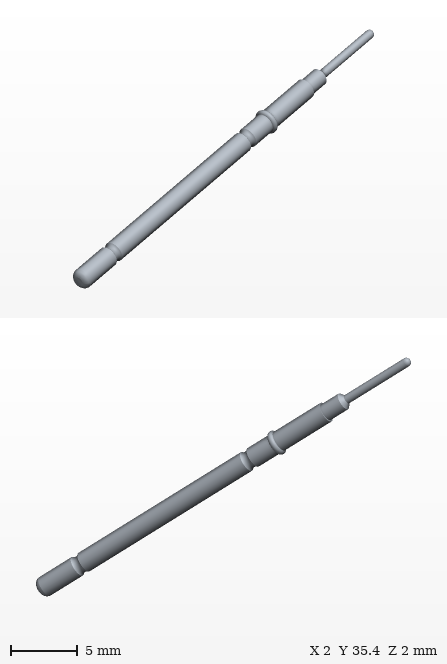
import cadquery as cq

length = 35.4
collar_start = 27.35
collar_end = 29.03
pin_start = 29.35

body_r = 0.8
collar_diameter = 1.38
collar_r = collar_diameter / 2
pin_r = 0.35

tail_face_r = 0.4
tail_length = 0.45
tail_arc_r = 0.53

groove_positions = (3.9, 20.07)
groove_width = 0.65
groove_depth = 0.15
ring_y = 22.65
ring_r = 1.0
ring_width = 0.53


def turned_blank():
    """Solid of revolution about the Y axis: tail, body, collar and pin with a hemispherical tip."""
    profile = (
        cq.Workplane("XY")
        .lineTo(tail_face_r, 0)
        .radiusArc((body_r, tail_length), -tail_arc_r)
        .lineTo(body_r, collar_start)
        .lineTo(collar_r, collar_start)
        .lineTo(collar_r, collar_end)
        .lineTo(pin_r, pin_start)
        .lineTo(pin_r, length - pin_r)
        .radiusArc((0, length), -pin_r)
        .close()
    )
    return profile.revolve(360, (0, 0), (0, 1))


def crimp_groove(y):
    """Cutter for a shallow groove of circular-arc section centred at y."""
    half = groove_width / 2
    section = (
        cq.Workplane("XY")
        .moveTo(ring_r, y - half)
        .lineTo(body_r, y - half)
        .threePointArc((body_r - groove_depth, y), (body_r, y + half))
        .lineTo(ring_r, y + half)
        .close()
    )
    return section.revolve(360, (0, 0), (0, 1))


def stop_ring():
    """Raised ring with a half-round rim around the body."""
    half = ring_width / 2
    section = (
        cq.Workplane("XY")
        .moveTo(0, ring_y - half)
        .lineTo(ring_r - half, ring_y - half)
        .threePointArc((ring_r, ring_y), (ring_r - half, ring_y + half))
        .lineTo(0, ring_y + half)
        .close()
    )
    return section.revolve(360, (0, 0), (0, 1))


result = turned_blank().union(stop_ring())
for groove_y in groove_positions:
    result = result.cut(crimp_groove(groove_y))